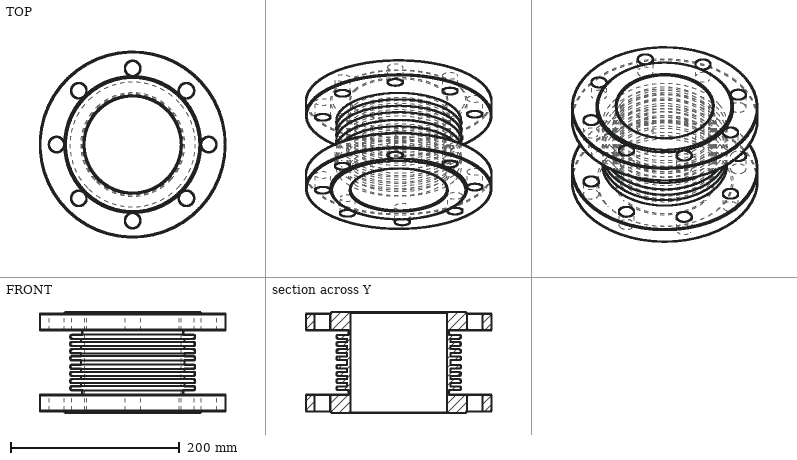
import cadquery as cq

total_height = 120.0
half_height = total_height / 2

flange_diameter = 220
flange_thickness = 20.0
flange_edge_chamfer = 1.0
raised_face_base_diameter = 162.0
raised_face_height = 2.0
raised_face_side_slope = 45
flange_outer_z = half_height - raised_face_height

bolt_count = 8
bolt_hole_diameter = 18.0
bolt_circle_diameter = 180.0

bore_diameter = 114.0
bore_chamfer = 1.0
neck_diameter = 120.0
bellows_diameter = 123.0

ring_diameter = 148.0
ring_thickness = 5.0
first_ring_z = 5.0
last_ring_z = 30.4
rings_per_group = 4
ring_pitch = (last_ring_z - first_ring_z) / (rings_per_group - 1)


def disc(diameter, height, center_z):
    """Solid disc on the Z axis, centred at the given height."""
    return cq.Workplane("XY").circle(diameter / 2).extrude(height / 2, both=True).translate((0, 0, center_z))


def make_upper_flange():
    """Chamfered flange with its tapered raised sealing face and bolt holes."""
    flange = disc(flange_diameter, flange_thickness, flange_outer_z - flange_thickness / 2)
    flange = flange.edges().chamfer(flange_edge_chamfer)
    holes = (
        cq.Workplane("XY")
        .polarArray(bolt_circle_diameter / 2, 0, 360, bolt_count)
        .circle(bolt_hole_diameter / 2)
        .extrude(half_height)
    )
    raised_face = (
        cq.Workplane("XY", origin=(0, 0, flange_outer_z))
        .circle(raised_face_base_diameter / 2)
        .extrude(raised_face_height, taper=raised_face_side_slope)
    )
    return flange.cut(holes).union(raised_face)


def make_ring(center_z):
    """Bellows ring with a fully rounded rim."""
    half_thickness = ring_thickness / 2
    rim_radius = ring_diameter / 2
    straight_end = rim_radius - half_thickness
    return (
        cq.Workplane("XZ")
        .moveTo(0, center_z - half_thickness)
        .lineTo(straight_end, center_z - half_thickness)
        .threePointArc((rim_radius, center_z), (straight_end, center_z + half_thickness))
        .lineTo(0, center_z + half_thickness)
        .close()
        .revolve(360, (0, 0, 0), (0, 1, 0))
    )


body = disc(neck_diameter, total_height, 0)
body = body.union(disc(bellows_diameter, 2 * last_ring_z, 0))
for index in range(rings_per_group):
    ring_z = first_ring_z + index * ring_pitch
    body = body.union(make_ring(ring_z)).union(make_ring(-ring_z))

upper_flange = make_upper_flange()
body = body.union(upper_flange).union(upper_flange.mirror("XY"))

body = body.cut(disc(bore_diameter, total_height, 0))
bore_mouths = cq.selectors.RadiusNthSelector(0)
result = body.faces("<Z or >Z").edges(bore_mouths).chamfer(bore_chamfer)